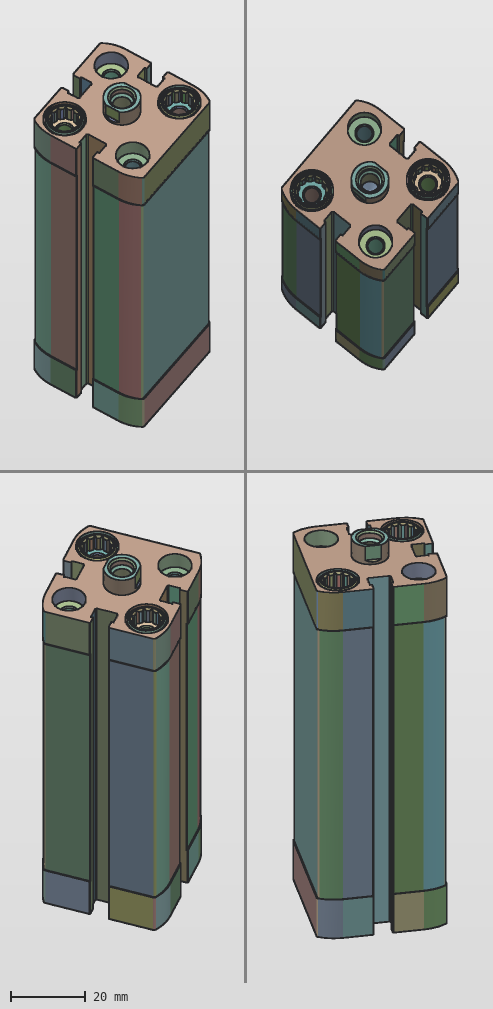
import cadquery as cq
import math

TOTAL_HEIGHT = 112.5
ROD_PROJECTION = 5.5
HOUSING_HEIGHT = TOTAL_HEIGHT - ROD_PROJECTION
HOUSING_WIDTH = 35.5
CAP_HEIGHT = 11.9
TUBE_INSET = 0.28
CORNER_ARC_START = 11.0
CAP_CORNER_RADIUS = 12.0
TUBE_CORNER_RADIUS = 13.0
CORNER_EDGE_FILLET = 0.8

SLOT_MOUTH_WIDTH = 5.2
SLOT_INNER_WIDTH = 6.4
SLOT_LIP_DEPTH = 2.4
SLOT_DEPTH = 6.0
SLOT_MOUTH_CHAMFER = 0.2
SLOT_FLOOR_CHAMFER = 0.3
SLOT_SIDES = (90, 180, 270)

HOLE_OFFSET = 11.0
THREAD_DIAMETER = 5.0
CORE_DIAMETER = 4.2
COUNTERBORE_DIAMETER = 9.0
COUNTERBORE_DEPTH = 4.8

HEAD_RECESS_DIAMETER = 11.5
HEAD_DIAMETER = 10.5
HEAD_TOP_DIAMETER = 9.6
HEAD_GROOVE_DEPTH = 1.0
SOCKET_MOUTH_DIAMETER = 8.8
SOCKET_ROOT_DIAMETER = 8.5
SOCKET_TIP_DIAMETER = 7.5
SOCKET_DEPTH = 4.8
TOOTH_COUNT = 12
TOOTH_TIP_WIDTH = 1.0
FIRST_TOOTH_ANGLE = 45.0

ROD_DIAMETER = 10.0
ROD_LENGTH = 22.5
ROD_FLAT_DISTANCE = 9.0
ROD_FLAT_LENGTH = 4.3
ROD_MOUTH_DIAMETER = 7.5
ROD_BORE_DIAMETER = 6.4
ROD_BORE_DEPTH = 2.1
ROD_CORE_DIAMETER = 5.0
ROD_CORE_DEPTH = 11.2
DRILL_POINT_ANGLE = 118.0


def cylinder(diameter, bottom, top, x=0.0, y=0.0):
    return cq.Workplane("XY", origin=(x, y, bottom)).circle(diameter / 2).extrude(top - bottom)


def cone(top_diameter, bottom_diameter, top, height, x=0.0, y=0.0):
    """Cone frustum that reaches down from the height top."""
    solid = cq.Solid.makeCone(
        bottom_diameter / 2, top_diameter / 2, height, pnt=cq.Vector(x, y, top - height)
    )
    return cq.Workplane(solid)


def chamfer_cone(top_diameter, bottom_diameter, top, x=0.0, y=0.0):
    """Frustum with 45 degree sides."""
    return cone(top_diameter, bottom_diameter, top, (top_diameter - bottom_diameter) / 2, x, y)


def housing_section(half, radius, bottom, top):
    """Slotted square block with rounded corners; half is half its width."""
    sweep = math.asin((half - CORNER_ARC_START) / radius)
    centre_y = half - radius

    def arc_point(angle):
        return CORNER_ARC_START + radius * math.sin(angle), centre_y + radius * math.cos(angle)

    end_x, end_y = arc_point(sweep)
    mid_x, mid_y = arc_point(sweep / 2)
    outline = (
        cq.Workplane("XY", origin=(0, 0, bottom))
        .moveTo(-CORNER_ARC_START, half)
        .lineTo(CORNER_ARC_START, half)
        .threePointArc((mid_x, mid_y), (end_x, end_y))
        .lineTo(end_x, -end_y)
        .threePointArc((mid_x, -mid_y), (CORNER_ARC_START, -half))
        .lineTo(-CORNER_ARC_START, -half)
        .threePointArc((-mid_x, -mid_y), (-end_x, -end_y))
        .lineTo(-end_x, end_y)
        .threePointArc((-mid_x, mid_y), (-CORNER_ARC_START, half))
        .close()
    )
    block = outline.extrude(top - bottom)
    corner_edges = cq.selectors.BoxSelector(
        (-half - 1.1, -end_y - 0.1, bottom), (half + 1.1, end_y + 0.1, top)
    )
    block = block.edges("|Z").edges(corner_edges).fillet(CORNER_EDGE_FILLET)
    for angle in SLOT_SIDES:
        block = block.cut(t_slot(half, angle, bottom, top))
    return block


def t_slot(face, angle, bottom, top):
    """T-slot with a chamfered mouth and floor, cut into the side that lies at the distance face."""
    floor = HOUSING_WIDTH / 2 - SLOT_DEPTH
    lip = HOUSING_WIDTH / 2 - SLOT_LIP_DEPTH
    half_mouth = SLOT_MOUTH_WIDTH / 2
    half_inner = SLOT_INNER_WIDTH / 2
    upper_side = [
        (floor, half_inner - SLOT_FLOOR_CHAMFER),
        (floor + SLOT_FLOOR_CHAMFER, half_inner),
        (lip, half_inner),
        (lip, half_mouth),
        (face - SLOT_MOUTH_CHAMFER, half_mouth),
        (face, half_mouth + SLOT_MOUTH_CHAMFER),
    ]
    lower_side = [(x, -y) for x, y in reversed(upper_side)]
    profile = cq.Workplane("XY", origin=(0, 0, bottom)).polyline(upper_side + lower_side).close()
    return profile.extrude(top - bottom).rotate((0, 0, 0), (0, 0, 1), angle)


def threaded_through_hole(x, y, start):
    """Core hole through the housing with a countersink at the height start."""
    core = cylinder(CORE_DIAMETER, 0, start, x, y)
    return core.union(chamfer_cone(THREAD_DIAMETER, CORE_DIAMETER, start, x, y))


def counterbored_hole(x, y):
    floor = HOUSING_HEIGHT - COUNTERBORE_DEPTH
    bore = cylinder(COUNTERBORE_DIAMETER, floor, HOUSING_HEIGHT, x, y)
    return bore.union(threaded_through_hole(x, y, floor))


def spline_prism(x, y, bottom, top):
    """Socket with inward teeth that have flat tips and meet at sharp roots."""
    root = SOCKET_ROOT_DIAMETER / 2
    tip = SOCKET_TIP_DIAMETER / 2
    pitch = 2 * math.pi / TOOTH_COUNT
    half_tip = math.asin(TOOTH_TIP_WIDTH / 2 / tip)
    points = []
    for index in range(TOOTH_COUNT):
        middle = math.radians(FIRST_TOOTH_ANGLE) + index * pitch
        for radius, angle in (
            (tip, middle - half_tip),
            (tip, middle + half_tip),
            (root, middle + pitch / 2),
        ):
            points.append((radius * math.cos(angle), radius * math.sin(angle)))
    return cq.Workplane("XY", origin=(x, y, bottom)).polyline(points).close().extrude(top - bottom)


def head_groove(x, y):
    """Ring gap around a screw head with a bevelled rim."""
    floor = HOUSING_HEIGHT - HEAD_GROOVE_DEPTH
    bevel = (HEAD_DIAMETER - HEAD_TOP_DIAMETER) / 2
    bevel_floor = HOUSING_HEIGHT - bevel
    recess = cylinder(HEAD_RECESS_DIAMETER, floor, HOUSING_HEIGHT, x, y)
    head = cylinder(HEAD_DIAMETER, floor, bevel_floor, x, y)
    head = head.union(cone(HEAD_TOP_DIAMETER, HEAD_DIAMETER, HOUSING_HEIGHT, bevel, x, y))
    return recess.cut(head)


def splined_socket_hole(x, y):
    floor = HOUSING_HEIGHT - SOCKET_DEPTH
    hole = spline_prism(x, y, floor, HOUSING_HEIGHT)
    hole = hole.union(chamfer_cone(SOCKET_MOUTH_DIAMETER, SOCKET_TIP_DIAMETER, HOUSING_HEIGHT, x, y))
    return hole.union(threaded_through_hole(x, y, floor))


def make_housing():
    cap_half = HOUSING_WIDTH / 2
    tube_half = cap_half - TUBE_INSET
    tube_top = HOUSING_HEIGHT - CAP_HEIGHT
    body = housing_section(cap_half, CAP_CORNER_RADIUS, 0, CAP_HEIGHT)
    body = body.union(housing_section(tube_half, TUBE_CORNER_RADIUS, CAP_HEIGHT, tube_top))
    body = body.union(housing_section(cap_half, CAP_CORNER_RADIUS, tube_top, HOUSING_HEIGHT))
    for side in (-1, 1):
        body = body.cut(counterbored_hole(side * HOLE_OFFSET, -side * HOLE_OFFSET))
        body = body.cut(head_groove(side * HOLE_OFFSET, side * HOLE_OFFSET))
        body = body.cut(splined_socket_hole(side * HOLE_OFFSET, side * HOLE_OFFSET))
    return body.cut(cylinder(ROD_DIAMETER, TOTAL_HEIGHT - ROD_LENGTH, HOUSING_HEIGHT))


def drill_cone(top_diameter, bottom_diameter, top):
    """Frustum with the slope of a drill point."""
    height = (top_diameter - bottom_diameter) / 2 / math.tan(math.radians(DRILL_POINT_ANGLE / 2))
    return cone(top_diameter, bottom_diameter, top, height)


def rod_flat_cutter():
    """Removes the rod beyond one wrench flat; the lower end slopes down and outward at 45 degrees."""
    flat = ROD_FLAT_DISTANCE / 2
    outside = ROD_DIAMETER
    flat_end = TOTAL_HEIGHT - ROD_FLAT_LENGTH
    profile = [
        (flat, TOTAL_HEIGHT),
        (flat, flat_end),
        (outside, flat_end - (outside - flat)),
        (outside, TOTAL_HEIGHT),
    ]
    return cq.Workplane("YZ").polyline(profile).close().extrude(ROD_DIAMETER, both=True)


def make_rod():
    rod = cylinder(ROD_DIAMETER, TOTAL_HEIGHT - ROD_LENGTH, TOTAL_HEIGHT)
    for angle in (0, 180):
        rod = rod.cut(rod_flat_cutter().rotate((0, 0, 0), (0, 0, 1), angle))
    bore_floor = TOTAL_HEIGHT - ROD_BORE_DEPTH
    core_floor = TOTAL_HEIGHT - ROD_CORE_DEPTH
    rod = rod.cut(chamfer_cone(ROD_MOUTH_DIAMETER, ROD_BORE_DIAMETER, TOTAL_HEIGHT))
    rod = rod.cut(cylinder(ROD_BORE_DIAMETER, bore_floor, TOTAL_HEIGHT))
    rod = rod.cut(chamfer_cone(ROD_BORE_DIAMETER, ROD_CORE_DIAMETER, bore_floor))
    rod = rod.cut(cylinder(ROD_CORE_DIAMETER, core_floor, bore_floor))
    return rod.cut(drill_cone(ROD_CORE_DIAMETER, 0, core_floor))


housing = make_housing()
rod = make_rod()

result = cq.Compound.makeCompound([housing.val(), rod.val()])